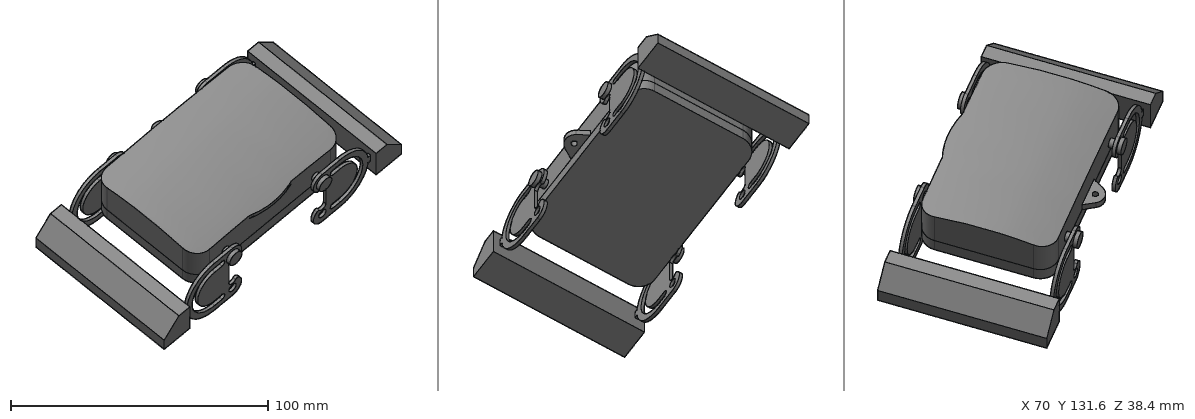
import cadquery as cq
import math


hood_width = 56.0
hood_length = 82.0
corner_radius = 7.5
base_height = 5.7
crown_height = 22.6
roof_drop_x = 2.6
roof_drop_y = 0.9
overshoot = 4.0

lip_reach = 1.8
lip_half_length = 11.6
lip_slope_top = 17.9

lug_tip_radius = 4.6
lug_tip_x = -35.0
lug_half_width = 6.8
lug_thickness = 3.0
lug_hole_radius = 1.2
lug_hole_x = -31.0

plate_x = 31.3
plate_thickness = 1.5
lever_mid_z = -0.3
lever_radius = 15.5
lever_arc_y = 34.7
inner_edge_y = 26.8
pivot_y = 24.9
lobe_radius = 5.0
lobe_offset = lever_radius - lobe_radius
hole_radius = 2.0
notch_offset = 5.7
notch_radius = inner_edge_y - pivot_y
hook_tip_fillet = 0.9
slot_outer_radius = 12.5
slot_inner_radius = 9.5
slot_end_y = 29.2
slot_end_radius = (slot_outer_radius - slot_inner_radius) / 2

pivot_z = lever_mid_z + lobe_offset
head_radius = 3.4
head_end_x = 33.8

handle_width = 70.0
handle_end_y = 65.8
handle_depth = 14.2
handle_top_z = 5.7
handle_height = 14.2
handle_chamfer = 8.2
neck_height = 3.8


def arc_radius(half_chord, rise):
    """Radius of the arc that rises by `rise` over a chord of twice `half_chord`."""
    return (half_chord**2 + rise**2) / (2 * rise)


def box_between(x_range, y_range, z_range):
    (x0, x1), (y0, y1), (z0, z1) = x_range, y_range, z_range
    return cq.Workplane("XY").box(x1 - x0, y1 - y0, z1 - z0, centered=False).translate((x0, y0, z0))


def rounded_block(bottom_z, top_z):
    return (
        cq.Workplane("XY", origin=(0, 0, bottom_z))
        .rect(hood_width, hood_length)
        .extrude(top_z - bottom_z)
        .edges("|Z")
        .fillet(corner_radius)
    )


def roof_envelope():
    """Body of revolution about a low X axis, whose rim is the doubly curved roof."""
    across_radius = arc_radius(hood_width / 2, roof_drop_x)
    along_radius = arc_radius(hood_length / 2, roof_drop_y)
    half_width = hood_width / 2 + overshoot
    edge_z = crown_height - across_radius + math.sqrt(across_radius**2 - half_width**2)
    axis_z = crown_height - along_radius
    sweep_angle = 2 * math.degrees(math.asin((hood_length / 2 + overshoot) / along_radius))
    section = (
        cq.Workplane("XZ")
        .moveTo(-half_width, 0)
        .lineTo(-half_width, edge_z)
        .threePointArc((0, crown_height), (half_width, edge_z))
        .lineTo(half_width, 0)
        .close()
    )
    envelope = section.revolve(sweep_angle, (0, axis_z), (1, axis_z))
    return envelope.rotate((0, 0, axis_z), (1, 0, axis_z), -sweep_angle / 2)


def finger_lip():
    """Shallow round bulge with a 45 degree conical underside."""
    radius = arc_radius(lip_half_length, lip_reach)
    centre_x = hood_width / 2 + lip_reach - radius
    slope_height = 2 * lip_reach
    disc = (
        cq.Workplane("XZ")
        .moveTo(0, lip_slope_top - slope_height)
        .lineTo(radius - slope_height, lip_slope_top - slope_height)
        .lineTo(radius, lip_slope_top)
        .lineTo(radius, crown_height)
        .lineTo(0, crown_height)
        .close()
        .revolve(360, (0, 0), (0, 1))
        .translate((centre_x, 0, 0))
    )
    keep = box_between(
        (hood_width / 2 - lip_reach, hood_width / 2 + overshoot),
        (-lip_half_length, lip_half_length),
        (base_height, crown_height),
    )
    return disc.intersect(keep)


def lug():
    """Eyelet lug: a round tip with straight tangent flanks running to the hood wall."""
    centre_x = lug_tip_x + lug_tip_radius
    wall_x = -hood_width / 2
    dx = wall_x - centre_x
    root_distance = math.hypot(dx, lug_half_width)
    tangent_angle = math.atan2(lug_half_width, dx) + math.acos(lug_tip_radius / root_distance)
    tangent_x = centre_x + lug_tip_radius * math.cos(tangent_angle)
    tangent_y = lug_tip_radius * math.sin(tangent_angle)
    root_x = wall_x + overshoot
    return (
        cq.Workplane("XY", origin=(0, 0, base_height))
        .moveTo(root_x, lug_half_width)
        .lineTo(wall_x, lug_half_width)
        .lineTo(tangent_x, tangent_y)
        .threePointArc((lug_tip_x, 0), (tangent_x, -tangent_y))
        .lineTo(wall_x, -lug_half_width)
        .lineTo(root_x, -lug_half_width)
        .close()
        .extrude(lug_thickness)
        .cut(
            cq.Workplane("XY", origin=(lug_hole_x, 0, base_height))
            .circle(lug_hole_radius)
            .extrude(lug_thickness)
        )
    )


def plate_disc(y, offset, radius):
    """Disc of plate thickness, `offset` above the middle of the lever."""
    return (
        cq.Workplane("YZ", origin=(-plate_thickness / 2, y, lever_mid_z + offset))
        .circle(radius)
        .extrude(plate_thickness)
    )


def plate_box(y_range, offset_range):
    z_range = [lever_mid_z + offset for offset in offset_range]
    return box_between((-plate_thickness / 2, plate_thickness / 2), y_range, z_range)


def slot_area(radius):
    """Half disc about the back of the plate, with straight arms reaching to the slot ends."""
    half_disc = plate_disc(lever_arc_y, 0, radius).intersect(
        plate_box((lever_arc_y, lever_arc_y + radius), (-radius, radius))
    )
    return half_disc.union(plate_box((slot_end_y + slot_end_radius, lever_arc_y), (-radius, radius)))


def lever_slot():
    """C-shaped slot concentric with the back of the plate, with round ends."""
    slot = slot_area(slot_outer_radius).cut(slot_area(slot_inner_radius))
    end_offset = slot_outer_radius - slot_end_radius
    for offset in (end_offset, -end_offset):
        slot = slot.union(plate_disc(slot_end_y + slot_end_radius, offset, slot_end_radius))
    return slot


def lever_plate():
    """Lever plate centred on X = 0, with a hooked lobe at each end and a C-shaped slot."""
    plate = plate_disc(lever_arc_y, 0, lever_radius).intersect(
        plate_box((inner_edge_y, lever_arc_y + lever_radius), (-lever_radius, lever_radius))
    )
    plate = plate.union(plate_box((inner_edge_y, lever_arc_y), (-lever_radius, lever_radius)))
    for side in (1, -1):
        foot = sorted((side * lobe_offset, side * lever_radius))
        plate = plate.union(plate_disc(pivot_y, side * lobe_offset, lobe_radius))
        plate = plate.union(plate_box((pivot_y, inner_edge_y), foot))
        plate = plate.cut(plate_disc(pivot_y, side * notch_offset, notch_radius))
    tip_zone = cq.selectors.BoxSelector(
        (-plate_thickness, pivot_y - lobe_radius, lever_mid_z - lobe_offset + hole_radius),
        (plate_thickness, pivot_y - hole_radius / 2, lever_mid_z + lobe_offset - hole_radius),
    )
    plate = plate.edges("|X").edges(tip_zone).fillet(hook_tip_fillet)
    neck = plate_box(
        (lever_arc_y + (slot_outer_radius + lever_radius) / 2, handle_end_y - handle_depth / 2),
        (-neck_height / 2, neck_height / 2),
    )
    hook_hole = plate_disc(pivot_y, -lobe_offset, hole_radius)
    return plate.cut(lever_slot()).cut(hook_hole).union(neck)


def pivot_pin():
    """Pin on the +X side, from inside the hood wall through the lever to its head."""
    shaft_start = hood_width / 2 - overshoot
    head_start = plate_x + plate_thickness / 2
    shaft = (
        cq.Workplane("YZ", origin=(shaft_start, pivot_y, pivot_z))
        .circle(hole_radius)
        .extrude(head_end_x - shaft_start)
    )
    head = (
        cq.Workplane("YZ", origin=(head_start, pivot_y, pivot_z))
        .circle(head_radius)
        .extrude(head_end_x - head_start)
    )
    return shaft.union(head)


def handle():
    bar = box_between(
        (-handle_width / 2, handle_width / 2),
        (handle_end_y - handle_depth, handle_end_y),
        (handle_top_z - handle_height, handle_top_z),
    )
    return bar.edges(">Y and >Z").chamfer(handle_chamfer)


def locking_lever():
    """Complete lever on the +Y side: handle bar, two plates and their pivot pins."""
    lever = handle()
    plate = lever_plate()
    pin = pivot_pin()
    for x in (plate_x, -plate_x):
        lever = lever.union(plate.translate((x, 0, 0)))
    for side_pin in (pin, pin.mirror("YZ")):
        lever = lever.union(side_pin)
    return lever


def make_hood():
    """Domed hood, formed in one piece with its lug, finger lip and both locking levers."""
    hood = rounded_block(base_height, crown_height + overshoot).union(finger_lip())
    hood = hood.intersect(roof_envelope()).union(lug())
    lever = locking_lever()
    for side_lever in (lever, lever.mirror("XZ")):
        hood = hood.union(side_lever)
    return hood


def make_base_frame():
    return rounded_block(0, base_height)


hood = make_hood()
base_frame = make_base_frame()

result = cq.Compound.makeCompound([hood.solids().val(), base_frame.solids().val()])